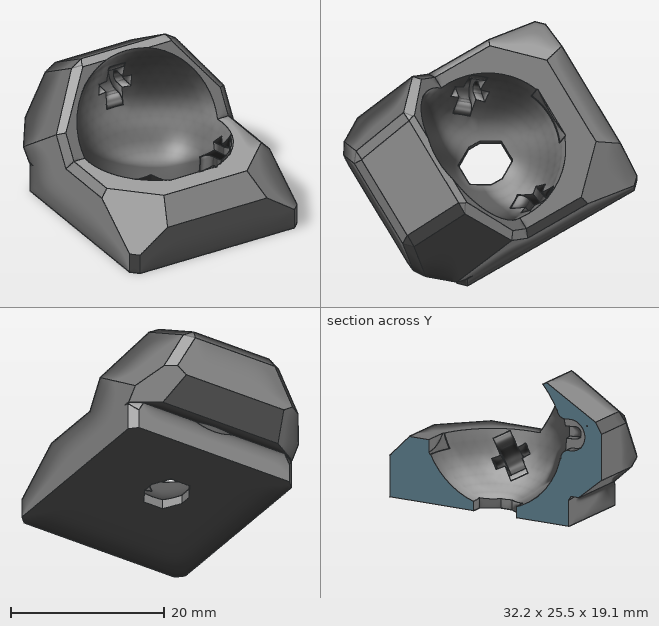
import cadquery as cq
import math

LENGTH = 32.22
WIDTH = 25.52
HEIGHT = 19.1
HALF_WIDTH = WIDTH / 2

BASE_LEFT = 5.0
DECK_Z = 8.7
DECK_EDGE_Y = 11.75
END_BEVEL = 3.0
EDGE_CHAMFER = 1.0
CORNER_BEVEL_Z = 2.75

HEAD_UNDERSIDE_Z = 4.12
UNDERSIDE_LEFT_X = 3.48
END_BOTTOM_Z = 7.0
END_TOP_Z = 13.27
ROOF_LEFT_X = 0.9
ROOF_LEFT_Z = 14.8
ROOF_RIGHT_X = 8.38
HEAD_FOOT_X = 15.45
HEAD_OVERLAP = 2.58
FACE_TOP_X = 9.4
FACE_TOP_Z = 18.5

BALL_X = 16.55
BALL_Z = 11.45
BALL_RADIUS = 10.55
SHELL_RADIUS = 13.98
BULGE_WINDOW = (3.22, 6.45, 2.58)
SOCKET_FLAT_X = 26.23
RELIEF_DEPTH = 0.1
RELIEF_WIDTH = 7.28
RELIEF_FLOOR_Z = 6.7
DRAIN_X = 16.2
DRAIN_HALF_X = 3.25
DRAIN_HALF_Y = 2.9
DRAIN_FLAT_X = 0.85
DRAIN_FLAT_Y = 1.48

POCKET_COUNT = 3
SOCKET_TILT = 29.0
POCKET_POLAR = 66.0
ROLLER_DIAMETER = 4.2
ROLLER_WIDTH = 2.45
ROLLER_DEPTH = 11.92
LEAD_IN_RADIUS = 1.2
LEAD_IN_DEPTH = 11.28
PIN_DIAMETER = 1.68
PIN_LENGTH = 4.9
POCKET_OPENING = 9.02

CUTTER_SIZE = 96.65


def slice_off(body, inside, points):
    """Remove what lies beyond the plane through three points, and its mirror image in y."""
    first, second, third = [cq.Vector(*point) for point in points]
    normal = (second - first).cross(third - first).normalized()
    if normal.dot(cq.Vector(*inside) - first) > 0:
        normal = normal * -1
    plane = cq.Plane(first, second - first, normal)
    cutter = cq.Workplane(plane).rect(CUTTER_SIZE, CUTTER_SIZE).extrude(CUTTER_SIZE)
    return body.cut(cutter).cut(cutter.mirror("XZ"))


def extrude_profile(points):
    """Extrude an XZ profile over the full width."""
    return cq.Workplane("XZ").polyline(points).close().extrude(HALF_WIDTH, both=True)


def make_base():
    step_x = HEAD_FOOT_X - HEAD_OVERLAP
    base = extrude_profile([
        (BASE_LEFT, 0),
        (LENGTH, 0),
        (LENGTH, DECK_Z - END_BEVEL),
        (LENGTH - END_BEVEL, DECK_Z),
        (step_x, DECK_Z),
        (step_x, HEAD_UNDERSIDE_Z),
        (BASE_LEFT, HEAD_UNDERSIDE_Z),
    ])
    inside = (LENGTH / 2, 0, HEAD_UNDERSIDE_Z / 2)
    edge_z = DECK_Z - EDGE_CHAMFER
    corner_y = HALF_WIDTH - EDGE_CHAMFER
    base = slice_off(base, inside, [
        (0, DECK_EDGE_Y, DECK_Z), (LENGTH, DECK_EDGE_Y, DECK_Z), (0, HALF_WIDTH, edge_z)])
    for end_x, inward in ((BASE_LEFT, EDGE_CHAMFER), (LENGTH, -EDGE_CHAMFER)):
        base = slice_off(base, inside, [
            (end_x, corner_y, 0), (end_x + inward, HALF_WIDTH, 0), (end_x, corner_y, DECK_Z)])
    deck_shift = (DECK_Z - CORNER_BEVEL_Z) * math.sqrt(2)
    base = slice_off(base, inside, [
        (LENGTH, corner_y, CORNER_BEVEL_Z),
        (LENGTH - EDGE_CHAMFER, HALF_WIDTH, CORNER_BEVEL_Z),
        (LENGTH, corner_y - deck_shift, DECK_Z)])
    chamfer_top = (BASE_LEFT, corner_y, CORNER_BEVEL_Z)
    end_top = (BASE_LEFT, 11.02, HEAD_UNDERSIDE_Z)
    facet_meeting = (5.85, 12.63, 3.77)
    meeting_top = (5.85, 12.63, HEAD_UNDERSIDE_Z)
    side_start = (BASE_LEFT + EDGE_CHAMFER, HALF_WIDTH, 3.75)
    side_end = (6.7, HALF_WIDTH, HEAD_UNDERSIDE_Z)
    base = slice_off(base, inside, [chamfer_top, end_top, facet_meeting])
    base = slice_off(base, inside, [meeting_top, side_start, side_end])
    return base


def make_head():
    face_run = (HEAD_FOOT_X - FACE_TOP_X) / (FACE_TOP_Z - DECK_Z)
    face_foot_x = HEAD_FOOT_X + (DECK_Z - HEAD_UNDERSIDE_Z) * face_run
    head = extrude_profile([
        (UNDERSIDE_LEFT_X, HEAD_UNDERSIDE_Z),
        (0, END_BOTTOM_Z),
        (0, END_TOP_Z),
        (ROOF_LEFT_X, ROOF_LEFT_Z),
        (ROOF_RIGHT_X, HEIGHT),
        (FACE_TOP_X, FACE_TOP_Z),
        (face_foot_x, HEAD_UNDERSIDE_Z),
    ])
    inside = (FACE_TOP_X, 0, DECK_Z)
    end_upper = (0, 6.22, END_TOP_Z)
    end_lower = (0, 9.0, 7.93)
    roof_left = (ROOF_LEFT_X, 5.85, ROOF_LEFT_Z)
    roof_right = (ROOF_RIGHT_X, 6.38, HEIGHT)
    face_top = (FACE_TOP_X, 6.85, FACE_TOP_Z)
    face_bend = (13.45, DECK_EDGE_Y, 12.0)
    face_foot = (HEAD_FOOT_X, DECK_EDGE_Y, DECK_Z)
    side_left = (1.0, 7.45, 13.82)
    side_top = (8.45, 7.9, 18.15)
    side_right = (12.65, HALF_WIDTH, 11.63)
    side_bottom = (4.22, HALF_WIDTH, 5.93)
    underside_left = (UNDERSIDE_LEFT_X, 9.0, HEAD_UNDERSIDE_Z)
    underside_right = (5.85, HALF_WIDTH, HEAD_UNDERSIDE_Z)
    facets = (
        (side_left, side_top, side_right),
        (side_left, side_top, roof_right),
        (side_left, end_upper, end_lower),
        (side_left, roof_left, end_upper),
        (side_top, roof_right, face_top),
        (underside_right, underside_left, side_bottom),
        (side_top, side_right, face_bend),
        (side_right, face_bend, face_foot),
    )
    for facet in facets:
        head = slice_off(head, inside, facet)
    return head


def make_shell_bulge():
    """Part of the socket's outer shell that shows beneath the overhang."""
    shell = cq.Workplane("XY").sphere(SHELL_RADIUS).translate((BALL_X, 0, BALL_Z))
    window = cq.Workplane("XY").box(*BULGE_WINDOW).translate((BASE_LEFT, 0, HEAD_UNDERSIDE_Z))
    return shell.intersect(window)


def make_socket():
    ball = cq.Workplane("XY").sphere(BALL_RADIUS).translate((BALL_X, 0, BALL_Z))
    relief_window = cq.Workplane("XY").box(
        LENGTH, RELIEF_WIDTH, HEIGHT, centered=(False, True, False)
    ).translate((BALL_X, 0, RELIEF_FLOOR_Z))
    relief = cq.Workplane("XY").sphere(BALL_RADIUS + RELIEF_DEPTH).translate((BALL_X, 0, BALL_Z))
    ball = ball.union(relief.intersect(relief_window))
    beyond_flat = (
        cq.Workplane("YZ", origin=(SOCKET_FLAT_X, 0, 0))
        .rect(CUTTER_SIZE, CUTTER_SIZE)
        .extrude(CUTTER_SIZE)
    )
    ball = ball.cut(beyond_flat)
    drain_points = [
        (DRAIN_HALF_X, -DRAIN_FLAT_Y),
        (DRAIN_HALF_X, DRAIN_FLAT_Y),
        (DRAIN_FLAT_X, DRAIN_HALF_Y),
        (-DRAIN_FLAT_X, DRAIN_HALF_Y),
        (-DRAIN_HALF_X, DRAIN_FLAT_Y),
        (-DRAIN_HALF_X, -DRAIN_FLAT_Y),
        (-DRAIN_FLAT_X, -DRAIN_HALF_Y),
        (DRAIN_FLAT_X, -DRAIN_HALF_Y),
    ]
    drain = cq.Workplane("XY").polyline(drain_points).close().extrude(BALL_Z)
    drain = drain.translate((DRAIN_X, 0, 0))
    return ball.union(drain)


def make_roller_pocket():
    """Roller slot crossed by its pin slot, for a ball centred at the origin and a roller below it."""
    roller_radius = ROLLER_DIAMETER / 2
    mouth = roller_radius + LEAD_IN_RADIUS
    mouth_depth = LEAD_IN_DEPTH - LEAD_IN_RADIUS
    diagonal = LEAD_IN_RADIUS * math.sqrt(0.5)
    bend = mouth - diagonal
    bend_depth = LEAD_IN_DEPTH - diagonal
    roller = (
        cq.Workplane("XZ")
        .moveTo(-mouth, -POCKET_OPENING)
        .lineTo(-mouth, -mouth_depth)
        .threePointArc((-bend, -bend_depth), (-roller_radius, -LEAD_IN_DEPTH))
        .lineTo(-roller_radius, -ROLLER_DEPTH)
        .threePointArc((0, -ROLLER_DEPTH - roller_radius), (roller_radius, -ROLLER_DEPTH))
        .lineTo(roller_radius, -LEAD_IN_DEPTH)
        .threePointArc((bend, -bend_depth), (mouth, -mouth_depth))
        .lineTo(mouth, -POCKET_OPENING)
        .close()
        .extrude(ROLLER_WIDTH / 2, both=True)
    )
    pin_radius = PIN_DIAMETER / 2
    pin = (
        cq.Workplane("XZ")
        .moveTo(-pin_radius, -POCKET_OPENING)
        .lineTo(-pin_radius, -ROLLER_DEPTH)
        .threePointArc((0, -ROLLER_DEPTH - pin_radius), (pin_radius, -ROLLER_DEPTH))
        .lineTo(pin_radius, -POCKET_OPENING)
        .close()
        .extrude(PIN_LENGTH / 2, both=True)
    )
    return roller.union(pin)


def place_roller_pocket(pocket, index):
    origin = (0, 0, 0)
    placed = pocket.rotate(origin, (0, 1, 0), POCKET_POLAR)
    placed = placed.rotate(origin, (0, 0, 1), index * 360 / POCKET_COUNT)
    placed = placed.rotate(origin, (0, 1, 0), SOCKET_TILT)
    return placed.translate((BALL_X, 0, BALL_Z))


body = make_base().union(make_head()).union(make_shell_bulge())
body = body.cut(make_socket())
roller_pocket = make_roller_pocket()
for pocket_index in range(POCKET_COUNT):
    body = body.cut(place_roller_pocket(roller_pocket, pocket_index))

result = body